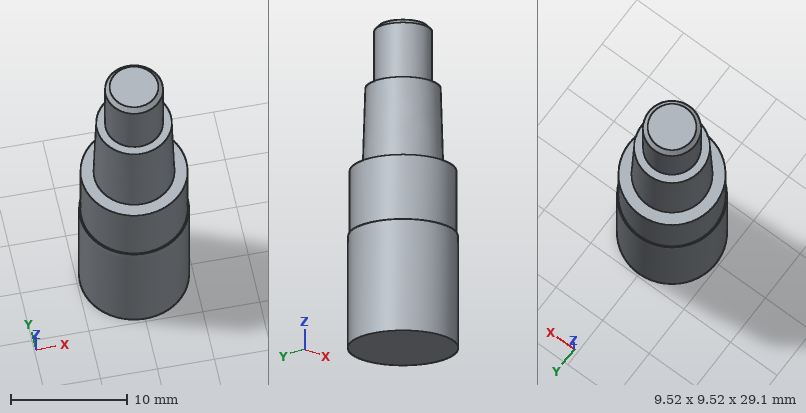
import cadquery as cq

total_height = 29.1
press_fit_height = 9.52
crowned_band_height = 0.6
shoulder_height = 16.0
taper_height = 7.5

press_fit_diameter = 9.52
barrel_diameter = 9.22
taper_base_diameter = 6.98
taper_top_diameter = 6.52
pin_diameter = 5.0

crown_drop = 0.017

tip_chamfer_height = 0.4
tip_chamfer_inset = 0.4

band_top = press_fit_height + crowned_band_height
nose_top = shoulder_height + taper_height


def turned(profile):
    """Revolve an open (radius, height) outline, closed by a straight line, about the Z axis."""
    return profile.close().revolve(360, (0, 0, 0), (0, 1, 0))


def make_housing():
    """Stepped housing with a crowned band, a tapered nose and a blind bore for the pin."""
    press_fit_radius = press_fit_diameter / 2
    barrel_radius = barrel_diameter / 2
    bore_radius = pin_diameter / 2
    return turned(
        cq.Workplane("XZ")
        .lineTo(press_fit_radius, 0)
        .lineTo(press_fit_radius, press_fit_height)
        .tangentArcPoint((press_fit_radius - crown_drop, band_top), relative=False)
        .lineTo(barrel_radius, band_top)
        .lineTo(barrel_radius, shoulder_height)
        .lineTo(taper_base_diameter / 2, shoulder_height)
        .lineTo(taper_top_diameter / 2, nose_top)
        .lineTo(bore_radius, nose_top)
        .lineTo(bore_radius, shoulder_height)
        .lineTo(0, shoulder_height)
    )


def make_pin():
    """Chamfered pin seated on the floor of the bore, level with the shoulder."""
    pin_radius = pin_diameter / 2
    return turned(
        cq.Workplane("XZ")
        .moveTo(0, shoulder_height)
        .lineTo(pin_radius, shoulder_height)
        .lineTo(pin_radius, total_height - tip_chamfer_height)
        .lineTo(pin_radius - tip_chamfer_inset, total_height)
        .lineTo(0, total_height)
    )


housing = make_housing()
pin = make_pin()

result = cq.Compound.makeCompound([housing.val(), pin.val()])